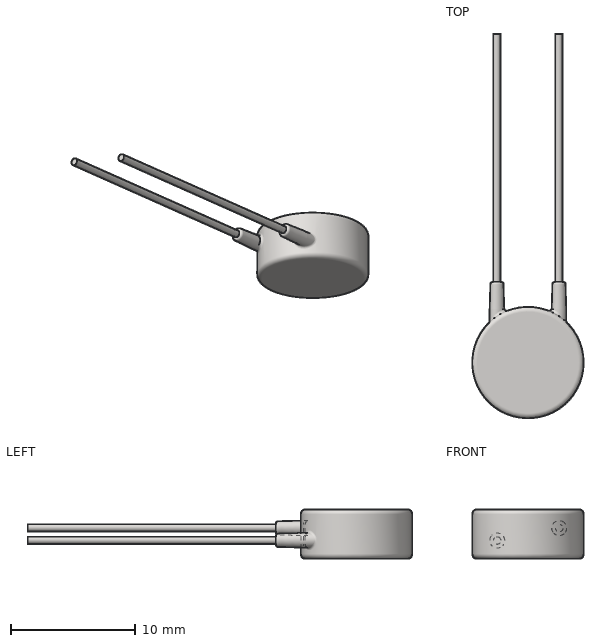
import cadquery as cq

body_diameter = 9.0
body_height = 4.0
body_edge_radius = 0.4

overall_length = 31.0
lead_diameter = 0.6
lead_spacing = 5.0
lead_height_offset = 0.5

collar_diameter = 1.2
collar_end_y = 4.3
collar_blend_radius = 0.2

sleeve_end_diameter = 1.08
sleeve_reach = 2.0
sleeve_end_radius = 0.2

body_radius = body_diameter / 2
lead_end_y = overall_length - body_radius
sleeve_end_y = body_radius + sleeve_reach
root_y = body_radius / 2


def lead_position(side):
    """X and Z of a lead axis; side is -1 for the low lead and +1 for the high one."""
    return side * lead_spacing / 2, body_height / 2 + side * lead_height_offset


def circle_on_lead(side, y, diameter):
    """Circle around a lead axis, in the plane at the given Y and facing +Y."""
    x, z = lead_position(side)
    plane = cq.Plane(origin=(x, y, z), xDir=(1, 0, 0), normal=(0, 1, 0))
    return cq.Workplane(plane).circle(diameter / 2)


def make_body():
    """Disc with rounded top and bottom rims."""
    disc = cq.Workplane("XY").circle(body_radius).extrude(body_height)
    return disc.edges("%CIRCLE").fillet(body_edge_radius)


def add_collars(body):
    """Straight collars with a small blend to the body wall, all cut flat at collar_end_y."""
    blended = body
    for side in (-1, 1):
        collar = circle_on_lead(side, root_y, collar_diameter).extrude(sleeve_end_y - root_y)
        blended = blended.union(collar)
    blended = blended.edges("not(%LINE or %CIRCLE)").fillet(collar_blend_radius)
    past_collar_end = (
        cq.Workplane("XY")
        .box(body_diameter, sleeve_end_y, body_height, centered=(True, False, False))
        .translate((0, collar_end_y, 0))
    )
    return blended.cut(past_collar_end.cut(body))


def make_sleeve(side):
    """Tapered sleeve from the collar outward, with a rounded end."""
    x, z = lead_position(side)
    cone = cq.Solid.makeCone(
        collar_diameter / 2,
        sleeve_end_diameter / 2,
        sleeve_end_y - collar_end_y,
        pnt=cq.Vector(x, collar_end_y, z),
        dir=cq.Vector(0, 1, 0),
    )
    return cq.Workplane(cone).faces(">Y").edges().fillet(sleeve_end_radius)


def make_lead(side):
    """Bare lead, from inside the body to its free end."""
    return circle_on_lead(side, root_y, lead_diameter).extrude(lead_end_y - root_y)


result = add_collars(make_body())
for lead_side in (-1, 1):
    result = result.union(make_sleeve(lead_side)).union(make_lead(lead_side))